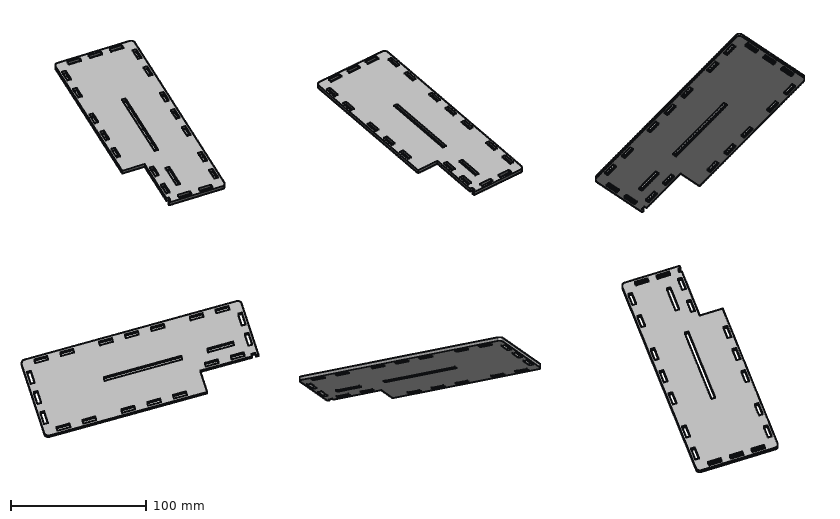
import cadquery as cq

length = 170.0
width = 64.0
thickness = 3.0
corner_radius = 3.0

step_length = 45.0
step_width = 18.0
step_x = length - step_length

slot_length = 10.0
slot_width = thickness
edge_margin = 2.0
slot_inset = edge_margin + slot_width / 2

main_row_x = [15.0, 35.0, 65.0, 85.0, 105.0]
step_row_x = [135.0, 155.0]

column_pitch = 17.0
column_y = [width / 2 + i * column_pitch for i in (-1, 0, 1)]

long_slot_length = 60.0
long_slot_x = length / 2
short_slot_length = 20.0
short_slot_x = sum(step_row_x) / len(step_row_x)


def make_plate():
    """Stepped plate with the three outer corners of the full rectangle rounded."""
    plate = cq.Workplane("XY").box(length, width, thickness, centered=False)
    plate = plate.edges("|Z").edges("<X or >Y").fillet(corner_radius)
    step = (
        cq.Workplane("XY")
        .box(step_length, step_width, thickness, centered=False)
        .translate((step_x, 0, 0))
    )
    return plate.cut(step)


def cut_slots(plate, centres, size_x, size_y):
    """Cut equal rectangular slots through the plate at the given centres."""
    slots = (
        cq.Workplane("XY")
        .pushPoints(centres)
        .rect(size_x, size_y)
        .extrude(thickness)
    )
    return plate.cut(slots)


def cut_edge_rows(plate):
    """Slots parallel to X beside the top edge, the bottom edge and the step edge."""
    top_row = [(x, width - slot_inset) for x in main_row_x + step_row_x]
    bottom_row = [(x, slot_inset) for x in main_row_x]
    step_row = [(x, step_width + slot_inset) for x in step_row_x]
    return cut_slots(plate, top_row + bottom_row + step_row, slot_length, slot_width)


def cut_end_columns(plate):
    """Slots parallel to Y beside both ends; the lowest one at +X opens into the step."""
    centres = [(x, y) for x in (slot_inset, length - slot_inset) for y in column_y]
    return cut_slots(plate, centres, slot_width, slot_length)


def cut_centre_slots(plate):
    """Two longer slots on the lengthwise centreline."""
    plate = cut_slots(plate, [(long_slot_x, width / 2)], long_slot_length, slot_width)
    return cut_slots(plate, [(short_slot_x, width / 2)], short_slot_length, slot_width)


result = make_plate()
result = cut_edge_rows(result)
result = cut_end_columns(result)
result = cut_centre_slots(result)
result = cq.Workplane("XY").newObject([result.solids().val()])